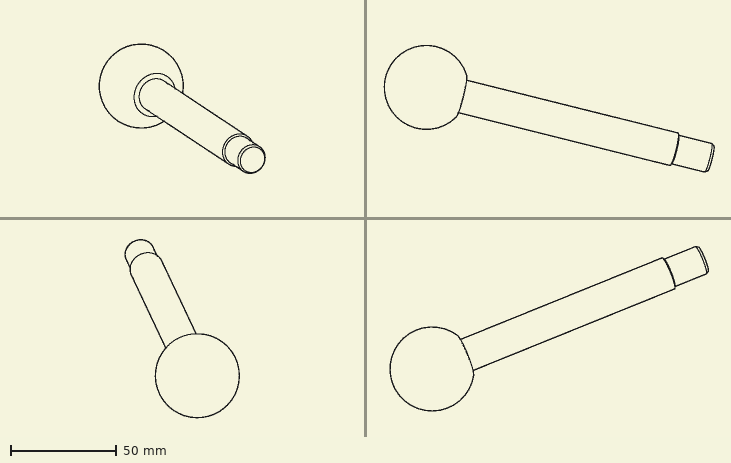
import cadquery as cq
import math

total_length = 160.0
ball_diameter = 40.0
ball_length = 37.0
shaft_diameter = 16.0
tip_diameter = 14.0
tip_length = 18.0
shoulder_length = 0.56
tip_chamfer_length = 1.3
tip_chamfer_depth = 0.8

ball_radius = ball_diameter / 2
shaft_radius = shaft_diameter / 2
tip_radius = tip_diameter / 2

ball_pole = -ball_radius
ball_face = ball_pole + ball_length
tip_end = ball_pole + total_length
shaft_end = tip_end - tip_length
ball_face_radius = math.sqrt(ball_radius**2 - ball_face**2)

profile = (
    cq.Workplane("XY")
    .moveTo(ball_pole, 0)
    .threePointArc((0, ball_radius), (ball_face, ball_face_radius))
    .lineTo(ball_face, shaft_radius)
    .lineTo(shaft_end, shaft_radius)
    .lineTo(shaft_end + shoulder_length, tip_radius)
    .lineTo(tip_end - tip_chamfer_length, tip_radius)
    .lineTo(tip_end, tip_radius - tip_chamfer_depth)
    .lineTo(tip_end, 0)
    .close()
)

result = profile.revolve(360, (0, 0, 0), (1, 0, 0))